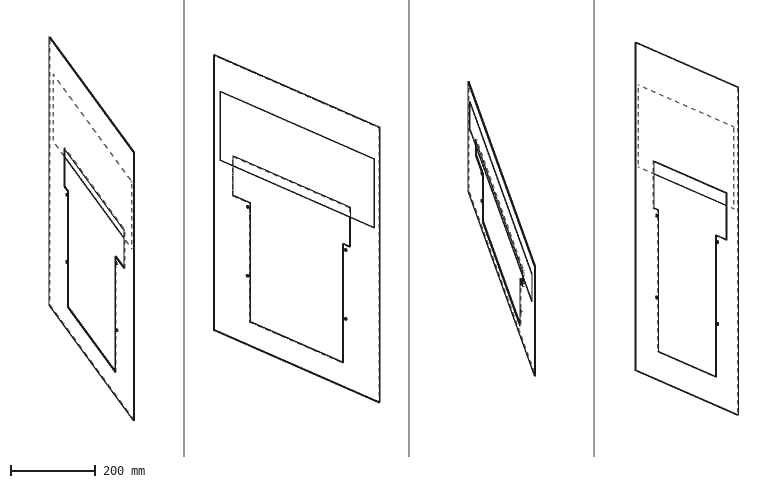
import cadquery as cq

panel_width = 489.0
panel_height = 800.0
total_depth = 4.0
backing_depth = total_depth / 4
panel_depth = total_depth - backing_depth

narrow_left = -137.0
narrow_width = 275.0
wide_left = -158.0
wide_width = 346.0
window_bottom = 70.0
step_height = 415.0
window_top = 530.0

backing_width = 455.0
backing_bottom = 500.0
backing_top = 700.0

hole_diameter = 6.0
hole_margin = 7.0
hole_heights = (200.0, 400.0)


def upright_block(left, width, bottom, top, front, depth):
    """Box given by its left side, its bottom and top levels and its front face."""
    block = cq.Workplane("XY").box(width, depth, top - bottom, centered=False)
    return block.translate((left, front, bottom))


def screw_hole(x, z):
    """Cylinder through the panel along Y."""
    hole = cq.Workplane("XZ").circle(hole_diameter / 2).extrude(-panel_depth)
    return hole.translate((x, 0, z))


panel = upright_block(-panel_width / 2, panel_width, 0, panel_height, 0, panel_depth)
panel = panel.cut(upright_block(narrow_left, narrow_width, window_bottom, step_height, 0, panel_depth))
panel = panel.cut(upright_block(wide_left, wide_width, step_height, window_top, 0, panel_depth))

narrow_right = narrow_left + narrow_width
for hole_x in (narrow_left - hole_margin, narrow_right + hole_margin):
    for hole_z in hole_heights:
        panel = panel.cut(screw_hole(hole_x, hole_z))

backing = upright_block(
    -backing_width / 2, backing_width, backing_bottom, backing_top, panel_depth, backing_depth
)
result = panel.union(backing)